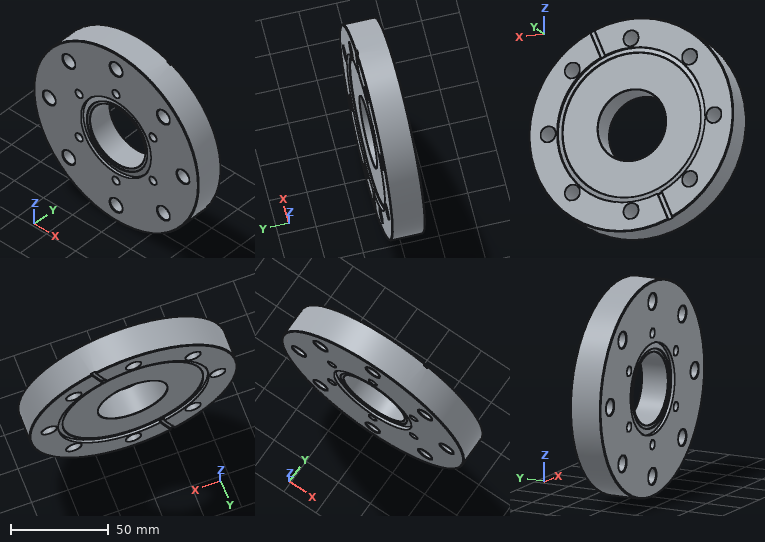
import cadquery as cq
import math

flange_diameter = 113.5
thickness = 17.5
rim_chamfer = 0.5
bore_radius = 19.0
bore_chamfer = 0.2

knife_depth = 0.7
knife_angle = 20.0
knife_step = 0.5
knife_lean = 0.2
land_depth = knife_depth + knife_step
front_recess_radius = 24.2
front_knife_radius = 20.9
back_recess_radius = 41.2
back_knife_radius = 38.6

bolt_count = 8
bolt_circle_radius = 46.1
bolt_hole_diameter = 8.4
bolt_hole_chamfer = 0.3

tap_count = 6
tap_circle_radius = 29.4
tap_hole_diameter = 5.0
tap_hole_depth = 10.2
drill_point_angle = 118.0

groove_count = 2
groove_width = 2.5
groove_depth = 1.0
groove_angle = 180.0 / bolt_count


def revolve_about_axis(points):
    """Revolve an outline of (radius, y) points about the Y axis."""
    return cq.Workplane("XY").polyline(points).close().revolve(360, (0, 0), (0, 1))


def cut_around(body, tool, count, circle_radius, start_angle=0.0):
    """Cut evenly spaced copies of a tool, shifted out along +Z and turned about Y."""
    shifted = tool.translate((0, 0, circle_radius))
    for index in range(count):
        angle = start_angle + index * 360.0 / count
        body = body.cut(shifted.rotate((0, 0, 0), (0, 1, 0), angle))
    return body


def make_disc():
    disc = cq.Workplane("XZ").circle(flange_diameter / 2).extrude(-thickness)
    return disc.edges().chamfer(rim_chamfer)


def port_cutter(recess_radius, knife_radius):
    """Recess with a sloped knife flank and a flat land, opening at y = 0."""
    flank_drop = (recess_radius - knife_radius) * math.tan(math.radians(knife_angle))
    return revolve_about_axis([
        (0, 0),
        (recess_radius, 0),
        (recess_radius, knife_depth + flank_drop),
        (knife_radius, knife_depth),
        (knife_radius - knife_lean, land_depth),
        (0, land_depth),
    ])


def bore_cutter():
    """Central bore with a small chamfer at the land of each port."""
    back_land = thickness - land_depth
    chamfered_radius = bore_radius + bore_chamfer
    return revolve_about_axis([
        (0, 0),
        (chamfered_radius, 0),
        (chamfered_radius, land_depth),
        (bore_radius, land_depth + bore_chamfer),
        (bore_radius, back_land - bore_chamfer),
        (chamfered_radius, back_land),
        (chamfered_radius, thickness),
        (0, thickness),
    ])


def bolt_hole_cutter():
    radius = bolt_hole_diameter / 2
    return revolve_about_axis([
        (0, 0),
        (radius + bolt_hole_chamfer, 0),
        (radius, bolt_hole_chamfer),
        (radius, thickness),
        (0, thickness),
    ])


def tap_hole_cutter():
    radius = tap_hole_diameter / 2
    point_length = radius / math.tan(math.radians(drill_point_angle / 2))
    return revolve_about_axis([
        (0, 0),
        (radius, 0),
        (radius, tap_hole_depth),
        (0, tap_hole_depth + point_length),
    ])


def leak_groove_cutter():
    """Slot from the back recess out through the rim, lying along +Z."""
    inner_end = (back_recess_radius + back_knife_radius) / 2
    length = flange_diameter / 2 - inner_end
    slot = cq.Workplane("XY").box(groove_width, groove_depth, length)
    return slot.translate((0, thickness - groove_depth / 2, inner_end + length / 2))


front_port = port_cutter(front_recess_radius, front_knife_radius)
back_port = port_cutter(back_recess_radius, back_knife_radius)
back_port = back_port.mirror("XZ").translate((0, thickness, 0))

result = make_disc().cut(front_port).cut(back_port).cut(bore_cutter())
result = cut_around(result, bolt_hole_cutter(), bolt_count, bolt_circle_radius)
result = cut_around(result, tap_hole_cutter(), tap_count, tap_circle_radius)
result = cut_around(result, leak_groove_cutter(), groove_count, 0, groove_angle)